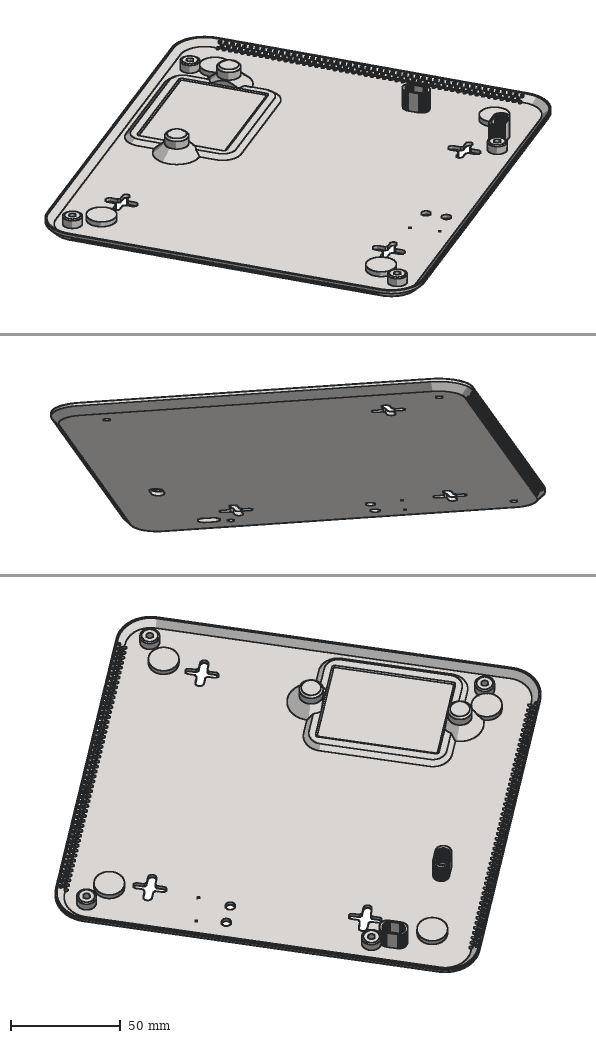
import cadquery as cq
LENGTH_X = 183.33
LENGTH_Y = 196.83
CORNER_RADIUS = 16.0
RIM_HEIGHT = 5.0
RIM_WIDTH = 0.8
FLOOR = 2.0
OUTER_BEVEL = 3.5
INNER_BEVEL_WIDTH = 3.3
INNER_BEVEL_HEIGHT = 2.9
TOP_HEIGHT = 12.0

VENT_COUNT = 50
VENT_PITCH = 3.0
VENT_DIAMETER = 1.5
VENT_ROW_PITCH = 1.6
VENT_MIDDLE_DROP = 0.7
VENT_HALF_DEPTH = 4.0

PAD_DIAMETER = 14.0
PAD_TOP = 4.5
PAD_X = 68.0
PAD_Y = 75.0

SCREW_X = 79.0
SCREW_LOW_Y = -83.5
SCREW_LEFT_Y = 72.0
SCREW_RIGHT_Y = 48.8
SCREW_POINTS = [
    (-SCREW_X, SCREW_LOW_Y),
    (SCREW_X, SCREW_LOW_Y),
    (-SCREW_X, SCREW_LEFT_Y),
    (SCREW_X, SCREW_RIGHT_Y),
]
SCREW_BOSS_DIAMETER = 9.0
SCREW_BOSS_TOP_DIAMETER = 7.4
SCREW_BOSS_TOP = 6.5
SCREW_BEVEL_HEIGHT = 0.5
SCREW_HOLE_DIAMETER = 3.2

CROSS_X = 65.0
CROSS_LOW_Y = -56.7
CROSS_SPACING_Y = 100.0
CROSS_POINTS = [
    (-CROSS_X, CROSS_LOW_Y),
    (CROSS_X, CROSS_LOW_Y),
    (CROSS_X, CROSS_LOW_Y + CROSS_SPACING_Y),
]
CROSS_LENGTH = 15.5
CROSS_WIDTH_ALONG_X = 4.0
CROSS_WIDTH_ALONG_Y = 3.2
CROSS_CENTRE_DIAMETER = 6.5

SMALL_HOLES = [
    (69.1, -18.6, 4.5),
    (79.0, -18.6, 4.5),
    (66.9, -33.8, 1.0),
    (80.7, -32.2, 1.0),
]

FRAME_X = -57.3
FRAME_Y = 30.0
FRAME_BASE_X = 56.0
FRAME_BASE_Y = 69.0
FRAME_RADIUS = 9.0
FRAME_TOP = 4.0
FRAME_BEVEL = 2.5
POCKET_X = 43.4
POCKET_Y = 57.4
POCKET_RADIUS = 1.5
POCKET_DEPTH = 0.5
POCKET_DRAFT = 0.8

POST_SPACING = 69.1
POST_DIAMETER = 11.0
POST_BASE_DIAMETER = 22.0
POST_CONE_TOP = 7.0
POST_CHAMFER = 1.0

SLEEVES = [(30.8, 72.7, 0), (76.4, 58.6, 90)]
SLEEVE_LENGTH = 13.2
SLEEVE_WIDTH = 7.6
SLEEVE_OPENING_LENGTH = 10.4
SLEEVE_OPENING_WIDTH = 6.0
GROOVE_COUNT = 6
GROOVE_PITCH = (TOP_HEIGHT - FLOOR) / GROOVE_COUNT
GROOVE_HEIGHT = GROOVE_PITCH / 2
GROOVE_DEPTH = 0.25


def rounded_block(size_x, size_y, radius, bottom, top):
    block = cq.Workplane("XY").workplane(offset=bottom).rect(size_x, size_y).extrude(top - bottom)
    return block.edges("|Z").fillet(radius)


def cylinder(x, y, diameter, bottom, top):
    plane = cq.Workplane("XY").workplane(offset=bottom).center(x, y)
    return plane.circle(diameter / 2).extrude(top - bottom)


def oblong(x, y, length, width, angle, bottom, top):
    plane = cq.Workplane("XY").workplane(offset=bottom).center(x, y)
    return plane.slot2D(length, width, angle).extrude(top - bottom)


def turned(half_profile):
    return cq.Workplane("XZ").polyline(half_profile).close().revolve(360, (0, 0, 0), (0, 1, 0))


def make_tray():
    outer = rounded_block(LENGTH_X, LENGTH_Y, CORNER_RADIUS, 0, RIM_HEIGHT)
    outer = outer.faces("<Z").edges().chamfer(OUTER_BEVEL)
    inner_x = LENGTH_X - 2 * RIM_WIDTH
    inner_y = LENGTH_Y - 2 * RIM_WIDTH
    inner = rounded_block(inner_x, inner_y, CORNER_RADIUS - RIM_WIDTH, FLOOR, RIM_HEIGHT)
    inner = inner.faces("<Z").edges().chamfer(INNER_BEVEL_HEIGHT, INNER_BEVEL_WIDTH)
    return outer.cut(inner)


def make_vents():
    wall_y = LENGTH_Y / 2 - RIM_WIDTH - INNER_BEVEL_WIDTH / 2
    wall_z = FLOOR + INNER_BEVEL_HEIGHT / 2
    points = []
    for row in (-1, 0, 1):
        count = VENT_COUNT - 1 if row == 0 else VENT_COUNT
        for index in range(count):
            x = (index - (count - 1) / 2) * VENT_PITCH
            points.append((x, row * VENT_ROW_PITCH - VENT_MIDDLE_DROP))
    plane = cq.Plane(origin=(0, wall_y, wall_z), xDir=(1, 0, 0), normal=(0, -1, 1))
    holes = cq.Workplane(plane).pushPoints(points).circle(VENT_DIAMETER / 2)
    holes = holes.extrude(VENT_HALF_DEPTH, both=True)
    return holes.add(holes.mirror("XZ")).combine()


def make_frame():
    frame = rounded_block(FRAME_BASE_X, FRAME_BASE_Y, FRAME_RADIUS, 0, FRAME_TOP)
    frame = frame.faces(">Z").edges().chamfer(FRAME_TOP - FLOOR, FRAME_BEVEL)
    return frame.translate((FRAME_X, FRAME_Y, 0))


def make_pocket():
    pocket = rounded_block(POCKET_X, POCKET_Y, POCKET_RADIUS, FRAME_TOP - POCKET_DEPTH, TOP_HEIGHT)
    pocket = pocket.faces("<Z").edges().chamfer(POCKET_DEPTH, POCKET_DRAFT)
    return pocket.translate((FRAME_X, FRAME_Y, 0))


def make_post(y):
    radius = POST_DIAMETER / 2
    base_radius = POST_BASE_DIAMETER / 2
    post = turned(
        [
            (0, 0),
            (base_radius, 0),
            (base_radius, FLOOR),
            (radius, POST_CONE_TOP),
            (radius, TOP_HEIGHT - POST_CHAMFER),
            (radius - POST_CHAMFER, TOP_HEIGHT),
            (0, TOP_HEIGHT),
        ]
    )
    return post.translate((FRAME_X, y, 0))


def make_screw_boss(x, y):
    radius = SCREW_BOSS_DIAMETER / 2
    boss = turned(
        [
            (0, 0),
            (radius, 0),
            (radius, SCREW_BOSS_TOP - SCREW_BEVEL_HEIGHT),
            (SCREW_BOSS_TOP_DIAMETER / 2, SCREW_BOSS_TOP),
            (0, SCREW_BOSS_TOP),
        ]
    )
    return boss.translate((x, y, 0))


def make_end_grooves(x, y, angle, long_length, width):
    core = oblong(x, y, long_length - 2 * GROOVE_DEPTH, width, angle, 0, TOP_HEIGHT)
    grooves = cq.Workplane("XY")
    for index in range(GROOVE_COUNT):
        bottom = FLOOR + index * GROOVE_PITCH
        grooves = grooves.add(oblong(x, y, long_length, width, angle, bottom, bottom + GROOVE_HEIGHT))
    return grooves.combine().cut(core)


def make_sleeve(x, y, angle):
    sleeve = oblong(x, y, SLEEVE_LENGTH, SLEEVE_WIDTH, angle, 0, TOP_HEIGHT)
    return sleeve.cut(make_end_grooves(x, y, angle, SLEEVE_LENGTH, SLEEVE_WIDTH))


def make_sleeve_opening(x, y, angle):
    opening = oblong(x, y, SLEEVE_OPENING_LENGTH, SLEEVE_OPENING_WIDTH, angle, 0, TOP_HEIGHT)
    inner_length = SLEEVE_OPENING_LENGTH + 2 * GROOVE_DEPTH
    return opening.union(make_end_grooves(x, y, angle, inner_length, SLEEVE_OPENING_WIDTH))


def make_cross(x, y):
    along_x = oblong(x, y, CROSS_LENGTH, CROSS_WIDTH_ALONG_X, 0, 0, FLOOR)
    along_y = oblong(x, y, CROSS_LENGTH, CROSS_WIDTH_ALONG_Y, 90, 0, FLOOR)
    centre = cylinder(x, y, CROSS_CENTRE_DIAMETER, 0, FLOOR)
    return along_x.union(along_y).union(centre)


result = make_tray().cut(make_vents())

result = result.union(make_frame())
for side in (-1, 1):
    result = result.union(make_post(FRAME_Y + side * POST_SPACING / 2))
result = result.cut(make_pocket())

for pad_x in (-PAD_X, PAD_X):
    for pad_y in (-PAD_Y, PAD_Y):
        result = result.union(cylinder(pad_x, pad_y, PAD_DIAMETER, 0, PAD_TOP))
for x, y, angle in SLEEVES:
    result = result.union(make_sleeve(x, y, angle))
for x, y in SCREW_POINTS:
    result = result.union(make_screw_boss(x, y))

for x, y, angle in SLEEVES:
    result = result.cut(make_sleeve_opening(x, y, angle))
for x, y in SCREW_POINTS:
    result = result.cut(cylinder(x, y, SCREW_HOLE_DIAMETER, 0, SCREW_BOSS_TOP))
for x, y in CROSS_POINTS:
    result = result.cut(make_cross(x, y))
for x, y, diameter in SMALL_HOLES:
    result = result.cut(cylinder(x, y, diameter, 0, FLOOR))